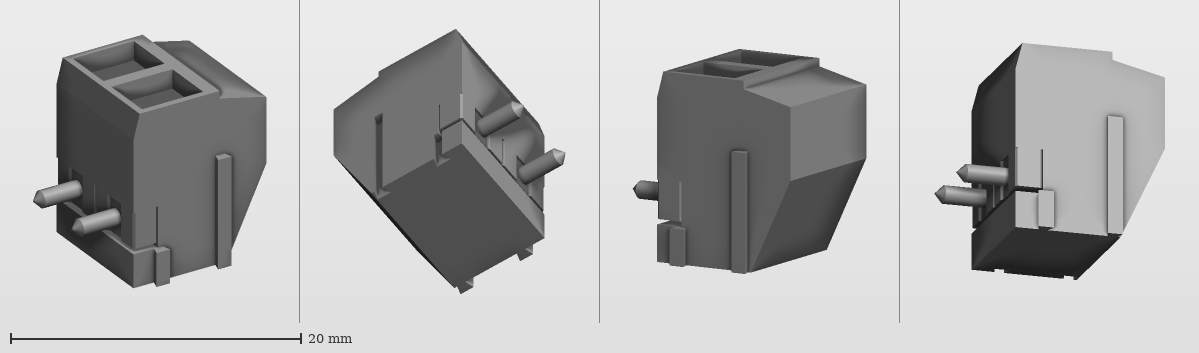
import cadquery as cq


pole_count = 2
pole_pitch = 5.0

width = pole_count * pole_pitch
depth = 10.8
height = 13.4
front_slope_run = 0.5
front_slope_drop = 1.89
step_y = 7.0
step_drop = 0.59
rear_edge_drop = 1.49
rear_slope_z = 6.74
bottom_depth = 7.6

pocket_width = 4.0
pocket_length = 4.98
pocket_front_y = 1.0
pocket_depth = 1.5

recess_depth = 1.97
ledge_z = 2.63
recess_top_z = 5.8

dovetail_neck = 0.7
dovetail_tip = 1.1
dovetail_depth = 0.69
front_dovetail_y = 2.0
dovetail_spacing = pole_pitch
rear_dovetail_y = front_dovetail_y + dovetail_spacing
rear_dovetail_height = 8.48
dovetails = [(front_dovetail_y, ledge_z), (rear_dovetail_y, rear_dovetail_height)]

insert_bottom_z = 3.02
insert_height = recess_top_z - insert_bottom_z
corner_chamfer = 0.16
groove_depth = 0.16
groove_floor_width = 1.47
groove_mouth_width = groove_floor_width + 2 * groove_depth

pin_radius = 0.65
pin_reach = 3.5
pin_tip_length = pin_radius
pin_z = 4.4


def dovetail(x, y, prism_height):
    """Upright dovetail prism standing on Z = 0, narrow at x and widening towards +X."""
    return (
        cq.Workplane("XY")
        .polyline([
            (x, y - dovetail_neck / 2),
            (x + dovetail_depth, y - dovetail_tip / 2),
            (x + dovetail_depth, y + dovetail_tip / 2),
            (x, y + dovetail_neck / 2),
        ])
        .close()
        .extrude(prism_height)
    )


def screw_pocket(center_x):
    """Rectangular pocket volume below the top face."""
    return (
        cq.Workplane("XY", origin=(center_x, pocket_front_y + pocket_length / 2, height - pocket_depth))
        .rect(pocket_width, pocket_length)
        .extrude(pocket_depth)
    )


def make_housing():
    """Profiled housing with its insert recess, screw pockets and dovetails."""
    body = (
        cq.Workplane("YZ")
        .polyline([
            (0, 0),
            (bottom_depth, 0),
            (depth, rear_slope_z),
            (depth, height - rear_edge_drop),
            (step_y, height - step_drop),
            (step_y, height),
            (front_slope_run, height),
            (0, height - front_slope_drop),
        ])
        .close()
        .extrude(width)
    )

    recess = cq.Workplane("XY", origin=(0, 0, ledge_z)).box(
        width, recess_depth, recess_top_z - ledge_z, centered=False
    )
    body = body.cut(recess)

    for pole in range(pole_count):
        body = body.cut(screw_pocket((pole + 0.5) * pole_pitch))

    for y, dovetail_height in dovetails:
        body = body.cut(dovetail(0, y, dovetail_height))
        body = body.union(dovetail(width, y, dovetail_height))
    return body


def pole_block(center_x):
    """Block with chamfered upright corners and a sloped-sided groove down its front."""
    block = (
        cq.Workplane("XY", origin=(center_x, recess_depth / 2, insert_bottom_z))
        .rect(pole_pitch, recess_depth)
        .extrude(insert_height)
        .edges("|Z")
        .chamfer(corner_chamfer)
    )
    groove = (
        cq.Workplane("XY", origin=(center_x, 0, insert_bottom_z))
        .polyline([
            (-groove_mouth_width / 2, 0),
            (groove_mouth_width / 2, 0),
            (groove_floor_width / 2, groove_depth),
            (-groove_floor_width / 2, groove_depth),
        ])
        .close()
        .extrude(insert_height)
    )
    return block.cut(groove)


def solder_pin(center_x):
    """Round pin with a conical tip, running towards -Y from the groove floor."""
    return (
        cq.Workplane("XY")
        .polyline([
            (0, groove_depth),
            (pin_radius, groove_depth),
            (pin_radius, pin_tip_length - pin_reach),
            (0, -pin_reach),
        ])
        .close()
        .revolve(360, (0, 0, 0), (0, 1, 0))
        .translate((center_x, 0, pin_z))
    )


def make_contact_insert():
    """Row of adjoining pole blocks, each carrying one solder pin."""
    insert = cq.Workplane("XY")
    for pole in range(pole_count):
        center_x = (pole + 0.5) * pole_pitch
        insert = insert.add(pole_block(center_x)).add(solder_pin(center_x))
    return insert.combine()


housing = make_housing()
contact_insert = make_contact_insert()

result = cq.Compound.makeCompound([housing.solids().val(), contact_insert.solids().val()])